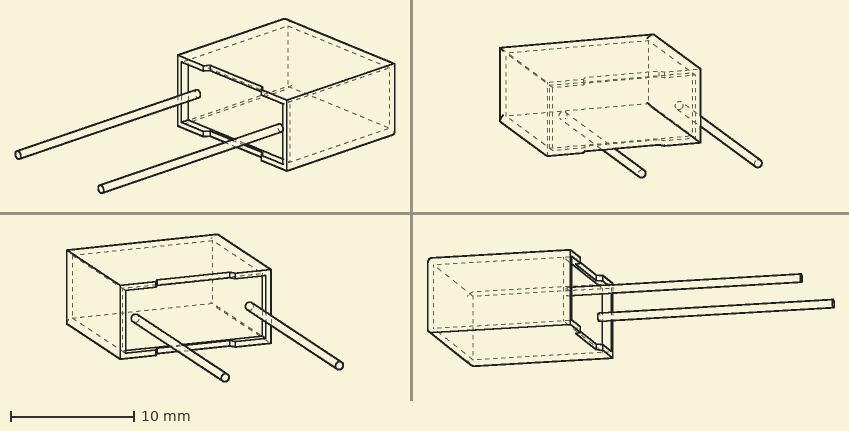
import cadquery as cq


case_width = 13.2
case_length = 12.13
case_height = 6.22
wall = 0.47
back_edge_radius = 0.5

notch_depth = 0.47
notch_mouth_width = 6.97
notch_floor_width = 6.35

fill_recess = 0.75

overall_length = 31.1
lead_diameter = 0.68
lead_pitch = 9.98
lead_tip_y = case_length - overall_length

cavity_width = case_width - 2 * wall
cavity_height = case_height - 2 * wall
cavity_length = case_length - wall


def block(width, height, y_front, y_back):
    """Box centred on X and Z that runs from y_front to y_back."""
    return cq.Workplane("XY").box(
        width, y_back - y_front, height, centered=(True, False, True)
    ).translate((0, y_front, 0))


def make_notch_cutter():
    """Trapezoidal prism that notches both the top and the bottom wall."""
    half_mouth = notch_mouth_width / 2
    half_floor = notch_floor_width / 2
    return (
        cq.Workplane("XY")
        .polyline([
            (-half_mouth, 0),
            (half_mouth, 0),
            (half_floor, notch_depth),
            (-half_floor, notch_depth),
        ])
        .close()
        .extrude(case_height / 2, both=True)
    )


def make_case():
    """Box with rounded back edges, a cavity open to -Y and two notches."""
    outer = block(case_width, case_height, 0, case_length)
    outer = outer.faces(">Y").edges().fillet(back_edge_radius)
    cavity = block(cavity_width, cavity_height, 0, cavity_length)
    return outer.cut(cavity).cut(make_notch_cutter())


def make_fill():
    """Potting that fills the cavity up to the recess at the open face."""
    return block(cavity_width, cavity_height, fill_recess, cavity_length)


def make_lead(x):
    """Round wire from the surface of the fill to the lead tip."""
    return (
        cq.Workplane("XZ", origin=(x, fill_recess, 0))
        .circle(lead_diameter / 2)
        .extrude(fill_recess - lead_tip_y)
    )


case = make_case()
fill = make_fill()
leads = [make_lead(side * lead_pitch / 2) for side in (-1, 1)]

result = cq.Compound.makeCompound([
    case.val(),
    fill.val(),
    *[lead.val() for lead in leads],
])